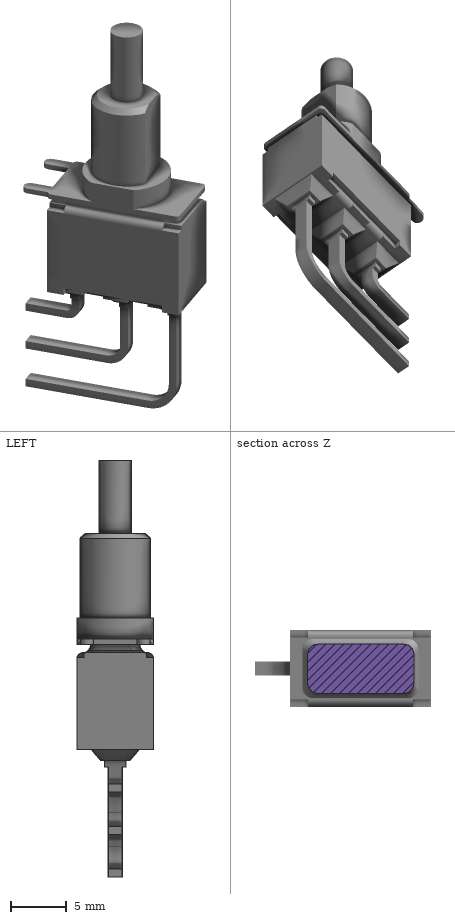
import cadquery as cq


overall_length = 15.9
case_length = 12.73
case_width = 6.9
shoulder_height = 8.3
case_height = 8.75
top_step_width = 5.6
panel_length = 9.5
panel_edge_radius = 0.6

relief_height = 0.68
relief_depth = 0.55
core_edge_radius = 0.55
middle_lug_length = 2.35
end_lug_inner_x = 3.15

plate_bottom = 9.45
seal_corner_radius = 0.95
seal_sections = [
    (case_height, 10.45, 5.35),
    (8.95, 10.05, 4.85),
    (9.15, 9.85, 4.58),
    (plate_bottom, 9.4, 4.35),
]

plate_thickness = 0.5
plate_corner_radius = 0.38
tab_width = 1.15
tab_reach = 2.55
tab_center_y = 2.55

nut_diameter = 8.0
nut_height = 1.9
bushing_diameter = 6.4
bushing_top = 19.5
bushing_flat_x = 2.5
bushing_chamfer_width = 0.53
bushing_chamfer_height = 0.45
plunger_diameter = 2.93
plunger_top = 26.05

terminal_count = 3
terminal_pitch = 4.7
terminal_thickness = 0.75
terminal_width = 1.28
terminal_tip_x = case_length / 2 - overall_length
top_lead_z = -3.45
lead_spacing_z = 3.83
first_bend_radius = 0.83
bend_radius_step = 0.8
shoulder_width = 1.95
shoulder_bottom = -1.58

potting_height = 0.98
potting_top_size = (3.05, 4.28)
potting_bottom_size = (1.45, 2.63)

plate_top = plate_bottom + plate_thickness
nut_top = plate_top + nut_height


def block(length, width, bottom, top):
    """Box centred on the Z axis between two heights."""
    return cq.Workplane("XY").workplane(offset=bottom).rect(length, width).extrude(top - bottom)


def frustum(bottom_section, top_section, corner_radius=0):
    """Tapered block between two (height, length, width) sections."""
    outlines = []
    for height, length, width in (bottom_section, top_section):
        outline = cq.Sketch().rect(length, width)
        if corner_radius:
            outline = outline.vertices().fillet(corner_radius)
        outlines.append(outline.moved(cq.Location(cq.Vector(0, 0, height))))
    return cq.Workplane("XY").placeSketch(*outlines).loft(ruled=True)


def make_case():
    end_walls = block(case_length, case_width, 0, shoulder_height)
    end_walls = end_walls.cut(block(panel_length, case_width, 0, shoulder_height))
    top_step = block(case_length, top_step_width, shoulder_height, case_height)
    panels = block(panel_length, case_width, relief_height, case_height)
    panels = panels.edges(">Z and |X").fillet(panel_edge_radius)

    core_width = case_width - 2 * relief_depth
    core = block(panel_length, core_width, 0, shoulder_height)
    core = core.edges("<Z and |X").fillet(core_edge_radius)
    middle_lug = block(middle_lug_length, core_width, 0, relief_height)
    end_lugs = block(panel_length, core_width, 0, relief_height)
    end_lugs = end_lugs.cut(block(2 * end_lug_inner_x, core_width, 0, relief_height))
    return end_walls.union(core).union(panels).union(top_step).union(middle_lug).union(end_lugs)


def make_seal():
    seal = frustum(seal_sections[0], seal_sections[1], seal_corner_radius)
    for lower, upper in zip(seal_sections[1:-1], seal_sections[2:]):
        seal = seal.union(frustum(lower, upper, seal_corner_radius))
    return seal


def make_plate():
    plate = block(case_length, case_width, plate_bottom, plate_top)
    plate = plate.edges("|Z").fillet(plate_corner_radius)
    edge_x = -case_length / 2
    tab_radius = tab_width / 2
    tab_straight = tab_reach - tab_radius
    for side in (-1, 1):
        tab = (
            cq.Workplane("XY", origin=(edge_x, side * tab_center_y, plate_bottom))
            .moveTo(plate_corner_radius, -tab_radius)
            .lineTo(-tab_straight, -tab_radius)
            .threePointArc((-tab_reach, 0), (-tab_straight, tab_radius))
            .lineTo(plate_corner_radius, tab_radius)
            .close()
            .extrude(plate_thickness)
        )
        plate = plate.union(tab)
    return plate


def make_nut():
    nut = cq.Workplane("XY", origin=(0, 0, plate_top)).circle(nut_diameter / 2).extrude(nut_height)
    return nut.intersect(block(nut_diameter, case_width, plate_top, nut_top))


def make_bushing():
    radius = bushing_diameter / 2
    bushing = (
        cq.Workplane("XZ")
        .moveTo(0, plate_top)
        .lineTo(radius, plate_top)
        .lineTo(radius, bushing_top - bushing_chamfer_height)
        .lineTo(radius - bushing_chamfer_width, bushing_top)
        .lineTo(0, bushing_top)
        .close()
        .revolve(360, (0, 0, 0), (0, 1, 0))
    )
    beyond_flat = block(bushing_diameter, bushing_diameter, nut_top, bushing_top)
    return bushing.cut(beyond_flat.translate((bushing_flat_x + radius, 0, 0)))


def make_plunger():
    base = cq.Workplane("XY", origin=(0, 0, plate_top))
    return base.circle(plunger_diameter / 2).extrude(plunger_top - plate_top)


def make_terminal(index):
    """Right-angle terminal; each further one reaches lower with a wider bend."""
    center_x = (index - (terminal_count - 1) / 2) * terminal_pitch
    lead_z = top_lead_z - index * lead_spacing_z
    bend_radius = first_bend_radius + index * bend_radius_step
    path = (
        cq.Workplane("XZ")
        .moveTo(center_x, 0)
        .lineTo(center_x, lead_z + bend_radius)
        .radiusArc((center_x - bend_radius, lead_z), bend_radius)
        .lineTo(terminal_tip_x, lead_z)
    )
    lead = cq.Workplane("XY", origin=(center_x, 0, 0)).rect(terminal_thickness, terminal_width).sweep(path)
    shoulder = block(terminal_thickness, shoulder_width, shoulder_bottom, 0)
    potting = frustum((-potting_height, *potting_bottom_size), (0, *potting_top_size))
    return lead.union(shoulder.union(potting).translate((center_x, 0, 0)))


result = make_case().union(make_seal()).union(make_plate())
result = result.union(make_nut()).union(make_bushing()).union(make_plunger())
for terminal_index in range(terminal_count):
    result = result.union(make_terminal(terminal_index))